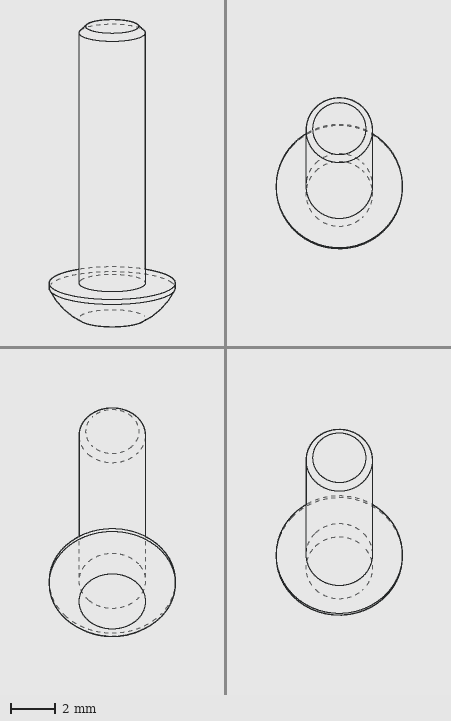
import cadquery as cq
import math

total_length = 13.65
head_height = 1.65
head_radius = 5.7 / 2
rim_height = 0.23
shank_radius = 3.0 / 2
crown_flat_radius = 1.5
tip_chamfer = 0.3

rim_bottom = head_height - rim_height
sphere_center = (head_radius**2 + rim_bottom**2 - crown_flat_radius**2) / (2 * rim_bottom)
sphere_radius = math.hypot(crown_flat_radius, sphere_center)
crown_mid_height = rim_bottom / 2
crown_mid_radius = math.sqrt(sphere_radius**2 - (sphere_center - crown_mid_height) ** 2)

head = (
    cq.Workplane("XZ")
    .lineTo(crown_flat_radius, 0)
    .threePointArc((crown_mid_radius, crown_mid_height), (head_radius, rim_bottom))
    .lineTo(head_radius, head_height)
    .lineTo(0, head_height)
    .close()
    .revolve(360, (0, 0), (0, 1))
)

shank = (
    cq.Workplane("XY", origin=(0, 0, head_height))
    .circle(shank_radius)
    .extrude(total_length - head_height)
    .faces(">Z")
    .chamfer(tip_chamfer)
)

result = head.union(shank)